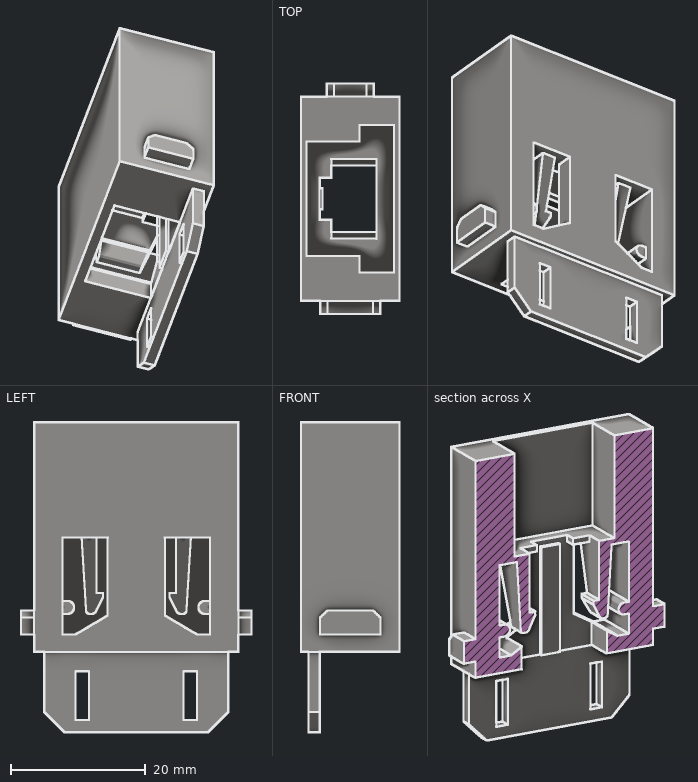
import cadquery as cq
import math

total_height = 46.0
total_length = 34.2
body_width = 14.65
body_length = 30.25
body_bottom = 11.95

tab_x = 1.1
tab_thickness = 1.7
tab_length = 27.32
tab_chamfer = 3.05
slot_width = 2.0
slot_height = 7.18
slot_bottom = 1.9
slot_offset = 8.0

lug_bottom = 14.5
lug_height = 3.6
lug_chamfer = 1.05
lug_center_x = 7.3
front_lug_width = 8.92
back_lug_width = 7.0

thin_wall = 0.85
socket_floor = 29.9
socket_step_x = 8.7
socket_narrow_length = 16.95
socket_wide_length = 21.9

chamber_wall = 2.75
chamber_end_x = 12.95
chamber_top = 28.9
chamber_bottom = lug_bottom
mouth_length = 14.45

window_inner_y = 4.25
window_outer_y = socket_wide_length / 2
window_flat_y = 9.05
window_slope_top = 17.35

hole_x = 4.5
hole_width = 6.65
hole_length = 11.78
notch_length = 6.15

key_length = 3.15
key_height = 0.45

latch_tip_z = 17.55
latch_inner_y = hole_length / 2
latch_root_y = 8.1
latch_tip_outer_y = 7.4
latch_tip_inner_y = 6.15
barb_y = 4.9
barb_top_z = 20.65
barb_bottom_z = 20.05
latch_root_x = 1.5
latch_taper_angle = 15.0
latch_back_x = hole_x + hole_width
latch_outer_radius = 0.5
latch_inner_radius = 0.7

stop_x = 1.45
stop_reach = 1.75
stop_thickness = 1.95
stop_center_z = 18.55


def block(x_min, x_max, length, z_min, z_max):
    """A box centred on Y = 0."""
    size = (x_max - x_min, length, z_max - z_min)
    return cq.Workplane("XY").box(*size, centered=(False, True, False)).translate((x_min, 0, z_min))


def with_mirror(half):
    """Joins a feature on the +Y side with its copy on the -Y side."""
    return half.union(half.mirror("XZ"))


def make_tab():
    tab = block(tab_x, tab_x + tab_thickness, tab_length, 0, body_bottom)
    tab = tab.faces("<Z").edges("|X").chamfer(tab_chamfer)
    slot = block(tab_x, tab_x + tab_thickness, slot_width, slot_bottom, slot_bottom + slot_height)
    return tab.cut(with_mirror(slot.translate((0, slot_offset, 0))))


def make_lug(width, side):
    """A lug with chamfered upper corners on the end face at side = -1 (-Y) or +1 (+Y)."""
    reach = (total_length - body_length) / 2
    x_min = lug_center_x - width / 2
    lug = block(x_min, x_min + width, reach, lug_bottom, lug_bottom + lug_height)
    lug = lug.faces(">Z").edges("|Y").chamfer(lug_chamfer)
    return lug.translate((0, side * (body_length + reach) / 2, 0))


def make_socket():
    narrow = block(thin_wall, socket_step_x, socket_narrow_length, socket_floor, total_height)
    wide = block(socket_step_x, body_width - thin_wall, socket_wide_length, socket_floor, total_height)
    return narrow.union(wide)


def make_chamber():
    """The lower chamber with its windows, its mouth and the opening up into the socket."""
    side_outline = [
        (window_inner_y, chamber_top),
        (window_outer_y, chamber_top),
        (window_outer_y, chamber_bottom),
        (window_flat_y, chamber_bottom),
        (window_inner_y, window_slope_top),
    ]
    windows = with_mirror(cq.Workplane("YZ").polyline(side_outline).close().extrude(chamber_end_x))
    middle = block(chamber_wall, chamber_end_x, 2 * window_inner_y, window_slope_top, chamber_top)
    mouth = block(chamber_wall, chamber_end_x, mouth_length, body_bottom, window_slope_top)
    hole = block(hole_x, hole_x + hole_width, hole_length, chamber_top, socket_floor)
    notch = block(chamber_wall, hole_x, notch_length, chamber_top, socket_floor)
    return windows.union(middle).union(mouth).union(hole).union(notch)


def make_latch():
    """A barbed latch on the +Y side whose -X face leans inward towards the tip."""
    outline = [
        (latch_inner_y, chamber_top),
        (latch_root_y, chamber_top),
        (latch_tip_outer_y, latch_tip_z),
        (latch_tip_inner_y, latch_tip_z),
        (barb_y, barb_bottom_z),
        (barb_y, barb_top_z),
        (latch_inner_y, barb_top_z),
    ]
    latch = cq.Workplane("YZ").polyline(outline).close().extrude(latch_back_x)
    latch = latch.faces("<Z").edges(">Y").fillet(latch_outer_radius)
    latch = latch.faces("<Z").edges("<Y").fillet(latch_inner_radius)
    latch_height = chamber_top - latch_tip_z
    tip_x = latch_root_x + latch_height * math.tan(math.radians(latch_taper_angle))
    taper = [
        (latch_root_x, chamber_top),
        (latch_back_x, chamber_top),
        (latch_back_x, latch_tip_z),
        (tip_x, latch_tip_z),
    ]
    return latch.intersect(cq.Workplane("XZ").polyline(taper).close().extrude(-latch_root_y))


def make_stop():
    """A round-nosed bar on the +Y end wall of the chamber."""
    radius = stop_thickness / 2
    nose_y = window_outer_y - stop_reach
    stop = (
        cq.Workplane("YZ", origin=(stop_x, 0, stop_center_z))
        .moveTo(window_outer_y, radius)
        .lineTo(nose_y + radius, radius)
        .threePointArc((nose_y, 0), (nose_y + radius, -radius))
        .lineTo(window_outer_y, -radius)
        .close()
    )
    return stop.extrude(chamber_end_x - stop_x)


body = block(0, body_width, body_length, body_bottom, total_height)
body = body.cut(make_socket()).cut(make_chamber())
key = block(chamber_wall, chamber_wall + key_height, key_length, body_bottom, chamber_top)

result = (
    body.union(make_tab())
    .union(make_lug(front_lug_width, -1))
    .union(make_lug(back_lug_width, 1))
    .union(with_mirror(make_latch()))
    .union(with_mirror(make_stop()))
    .union(key)
)